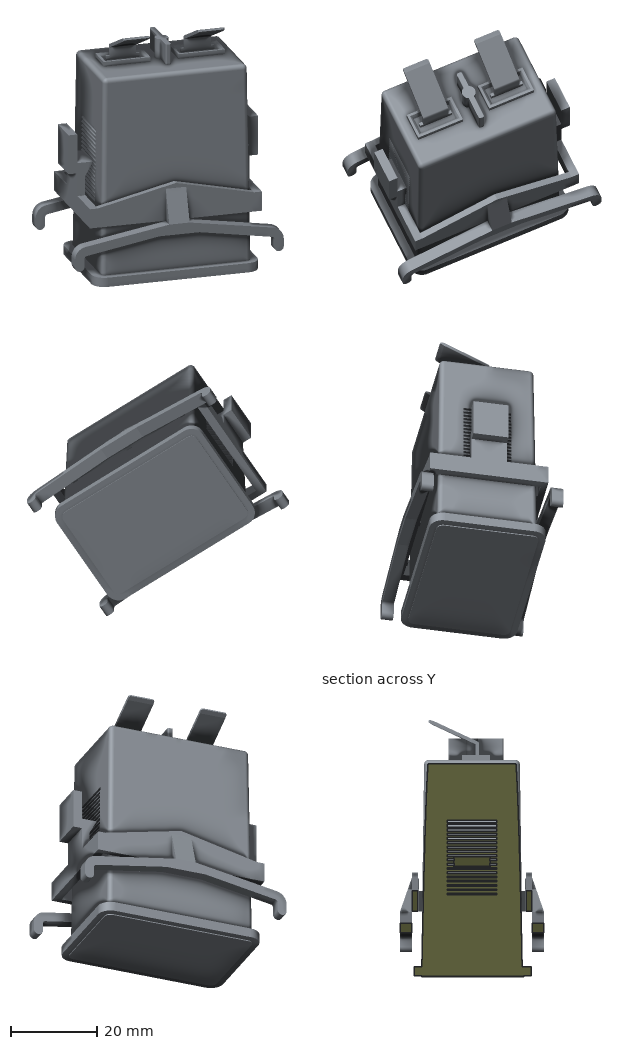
import cadquery as cq
import math

LENS_X = 24.1
LENS_Y = 37.1
LENS_T = 0.25
LENS_R = 1.55

FLANGE_X = 27.5
FLANGE_Y = 40.4
FLANGE_R = 3.1
FLANGE_TOP = 2.5
FLANGE_CENTER = (-0.2, -0.1)
CASE_X = 23.6
CASE_Y = 36.45
CASE_TOP = 50.5
CASE_TAPER = 0.8
CASE_EDGE_R = 1.1

RATCHET_X = 11.3
RATCHET_TOP = 36.45
RATCHET_BOTTOM = 18.45
TOOTH_COUNT = 18
TOOTH_PITCH = (RATCHET_TOP - RATCHET_BOTTOM) / TOOTH_COUNT
TOOTH_DEPTH = 0.6
TOOTH_LAND = 0.25
TOOTH_OVERCUT = 0.2

SOCKET_CENTER_X = -0.9
SOCKET_CENTER_Y = 9.1
SOCKET_X = 6.45
SOCKET_Y = 11.45
SOCKET_H = 1.15
SOCKET_DEPTH = 0.8
SOCKET_RIM = 0.6
SOCKET_WALL_INSET = 0.65
SOCKET_FLOOR = CASE_TOP + SOCKET_H - SOCKET_DEPTH
DIVIDER_X = 12.8
DIVIDER_T = 1.3
DIVIDER_EDGE_R = 0.35
DIVIDER_TOP = 55.5
DIVIDER_POST_D = 3.2

BLADE_T = 0.8
BLADE_BACK_X = -1.6
BLADE_W = 6.4
BLADE_FOOT_W = 8.15
BLADE_FOOT_TOP = 51.85
BLADE_ANGLE = math.radians(25)
BLADE_ARM = 12.7
BEND_R = 0.2
TIP_LENGTH = 1.15
TIP_BEVEL = 0.2
TIP_CORNER = 0.3
TIP_TOP = {1: 59.85, -1: 59.7}

CLIP_CENTER_Y = -0.85
FRAME_X = 28.0
FRAME_Y = 41.9
FRAME_SIDE_T = 1.5
FRAME_END_T = 1.9
FRAME_BOTTOM = 15.25
FRAME_TOP = 20.0
GABLE_TOP = 24.3
FRAME_END_Y = FRAME_Y / 2
FRAME_INNER_X = FRAME_X / 2 - FRAME_SIDE_T
FRAME_INNER_Y = FRAME_END_Y - FRAME_END_T

BUMP_W = 1.25
BUMP_T = 0.25
BUMP_SPACING = 14.95
BUMP_BELOW_GABLE = 1.4

TAB_X = 8.3
TAB_HOOK_Y = 17.2
TAB_HOOK_BOTTOM = 24.65
TAB_HOOK_TOP = 28.1
GRIP_OUTER_Y = 23.1
GRIP_BOTTOM = 25.55
GRIP_TOP = 35.15

CLIP_X = 33.5
CLIP_Y = 50.8
ARM_X = (CLIP_X - FRAME_X) / 2
ARM_T = 2.3
ARM_TOP = 15.2
ARM_UNDERSIDE = 12.6
ARM_TOP_FLAT = 4.95
ARM_UNDERSIDE_FLAT = 9.8
ARM_ANGLE = math.radians(9.1)
ARM_BEND_R = 3.0
ARM_BEND_Z = 8.85
ARM_TIP_Z = 5.85
WEDGE_TOP = 23.1


def case_half_y(z):
    """Distance of the tapered end face from the case axis at height z."""
    return CASE_Y / 2 - (z - FLANGE_TOP) * math.tan(math.radians(CASE_TAPER))


def extrude_along_x(points, width):
    """Prism from a closed (y, z) outline, centred on X = 0."""
    return (
        cq.Workplane("YZ")
        .polyline(points)
        .close()
        .extrude(width / 2, both=True)
    )


def plate(size_x, size_y, corner_r, bottom, top):
    """Rounded plate on the flange axis."""
    return (
        cq.Workplane("XY", origin=(*FLANGE_CENTER, bottom))
        .rect(size_x, size_y)
        .extrude(top - bottom)
        .edges("|Z")
        .fillet(corner_r)
    )


def make_lens():
    return plate(LENS_X, LENS_Y, LENS_R, 0, LENS_T)


def make_case():
    case = (
        cq.Workplane("XY", origin=(0, 0, FLANGE_TOP))
        .rect(CASE_X, CASE_Y)
        .extrude(CASE_TOP - FLANGE_TOP, taper=CASE_TAPER)
    )
    return case.edges("not <Z").fillet(CASE_EDGE_R)


def make_ratchet_cut():
    """Sawteeth of the -Y face: each slopes out going down to a narrow land."""
    cut = cq.Workplane("XY")
    for i in range(TOOTH_COUNT):
        root_z = RATCHET_TOP - i * TOOTH_PITCH
        crest_z = root_z - TOOTH_PITCH + TOOTH_LAND
        tooth_gap = [
            (-case_half_y(root_z) + TOOTH_DEPTH, root_z),
            (-case_half_y(crest_z), crest_z),
            (-case_half_y(crest_z) - TOOTH_OVERCUT, crest_z),
            (-case_half_y(root_z) - TOOTH_OVERCUT, root_z),
        ]
        cut = cut.add(extrude_along_x(tooth_gap, RATCHET_X))
    return cut.combine()


def make_socket(side):
    """Raised rectangular rim with a leaning inner wall."""
    wall_lean = math.degrees(math.atan(SOCKET_WALL_INSET / SOCKET_DEPTH))
    return (
        cq.Workplane("XY", origin=(SOCKET_CENTER_X, side * SOCKET_CENTER_Y, CASE_TOP))
        .rect(SOCKET_X, SOCKET_Y)
        .extrude(SOCKET_H)
        .faces(">Z")
        .workplane()
        .rect(SOCKET_X - 2 * SOCKET_RIM, SOCKET_Y - 2 * SOCKET_RIM)
        .cutBlind(-SOCKET_DEPTH, taper=wall_lean)
    )


def make_divider():
    height = DIVIDER_TOP - CASE_TOP
    base = cq.Workplane("XY", origin=(0, 0, CASE_TOP))
    wall = base.center(SOCKET_CENTER_X, 0).rect(DIVIDER_X, DIVIDER_T).extrude(height)
    wall = wall.edges("|Z").fillet(DIVIDER_EDGE_R)
    post = base.circle(DIVIDER_POST_D / 2).extrude(height)
    return wall.union(post)


def make_housing(clip):
    """Case and flange, relieved where the latch hooks of the clip reach in."""
    ratchet_cut = make_ratchet_cut()
    housing = (
        plate(FLANGE_X, FLANGE_Y, FLANGE_R, LENS_T, FLANGE_TOP)
        .union(make_case())
        .cut(ratchet_cut)
        .cut(ratchet_cut.mirror("XZ"))
        .union(make_divider())
    )
    for side in (1, -1):
        housing = housing.union(make_socket(side))
    return housing.cut(clip)


def make_terminal(side):
    """Blade standing in its socket and bent over toward +X."""
    along_x = math.cos(BLADE_ANGLE)
    along_z = math.sin(BLADE_ANGLE)
    bend_z = TIP_TOP[side] - (BLADE_ARM * along_z - TIP_BEVEL * along_x)

    def arm_point(distance, depth):
        """Point on the arm: distance from the bend corner, depth below its upper face."""
        return (
            BLADE_BACK_X + distance * along_x + depth * along_z,
            bend_z + distance * along_z - depth * along_x,
        )

    front_x = BLADE_BACK_X + BLADE_T
    inner_corner_z = bend_z - BLADE_T * (1 - along_z) / along_x
    outline = [
        (BLADE_BACK_X, SOCKET_FLOOR),
        (BLADE_BACK_X, bend_z),
        arm_point(BLADE_ARM - TIP_LENGTH, 0),
        arm_point(BLADE_ARM, TIP_BEVEL),
        arm_point(BLADE_ARM, BLADE_T - TIP_BEVEL),
        arm_point(BLADE_ARM - TIP_LENGTH, BLADE_T),
        (front_x, inner_corner_z),
        (front_x, SOCKET_FLOOR),
    ]
    y = side * SOCKET_CENTER_Y

    def edge_near(x, z):
        return cq.selectors.NearestToPointSelector((x, y, z))

    blade = (
        cq.Workplane("XZ", origin=(0, y, 0))
        .polyline(outline)
        .close()
        .extrude(BLADE_W / 2, both=True)
    )
    blade = blade.edges(edge_near(BLADE_BACK_X, bend_z)).fillet(BEND_R + BLADE_T / 2)
    blade = blade.edges(edge_near(front_x, inner_corner_z)).fillet(BEND_R)
    blade = blade.faces(">X").edges("not |Y").chamfer(TIP_CORNER)
    foot = (
        cq.Workplane("XY", origin=(BLADE_BACK_X + BLADE_T / 2, y, SOCKET_FLOOR))
        .rect(BLADE_T, BLADE_FOOT_W)
        .extrude(BLADE_FOOT_TOP - SOCKET_FLOOR)
    )
    return blade.union(foot)


def gable_z(y):
    """Height of the sloping upper edge of the frame sides."""
    return GABLE_TOP - abs(y) * (GABLE_TOP - FRAME_TOP) / FRAME_INNER_Y


def make_frame():
    """Rectangular frame whose long sides rise to a gable."""
    outline = [
        (-FRAME_END_Y, FRAME_BOTTOM),
        (FRAME_END_Y, FRAME_BOTTOM),
        (FRAME_END_Y, FRAME_TOP),
        (FRAME_INNER_Y, FRAME_TOP),
        (0, GABLE_TOP),
        (-FRAME_INNER_Y, FRAME_TOP),
        (-FRAME_END_Y, FRAME_TOP),
    ]
    opening = (
        cq.Workplane("XY", origin=(0, 0, FRAME_BOTTOM))
        .rect(2 * FRAME_INNER_X, 2 * FRAME_INNER_Y)
        .extrude(GABLE_TOP - FRAME_BOTTOM)
    )
    return extrude_along_x(outline, FRAME_X).cut(opening)


def make_bump(side, y):
    """Guide rib on the inner face of a frame side."""
    height = gable_z(y) - BUMP_BELOW_GABLE - FRAME_BOTTOM
    return (
        cq.Workplane("XY", origin=(side * (FRAME_INNER_X - BUMP_T / 2), y, FRAME_BOTTOM))
        .rect(BUMP_T, BUMP_W)
        .extrude(height)
    )


def make_tab():
    """Latch tab of the -Y end: stem, inward hook and upright finger grip."""
    outline = [
        (-FRAME_END_Y, FRAME_BOTTOM),
        (-FRAME_INNER_Y, FRAME_BOTTOM),
        (-FRAME_INNER_Y, TAB_HOOK_BOTTOM),
        (-TAB_HOOK_Y, TAB_HOOK_TOP),
        (-FRAME_END_Y, TAB_HOOK_TOP),
        (-FRAME_END_Y, GRIP_TOP),
        (-GRIP_OUTER_Y, GRIP_TOP),
        (-GRIP_OUTER_Y, GRIP_BOTTOM),
        (-FRAME_END_Y, GRIP_BOTTOM),
    ]
    return extrude_along_x(outline, TAB_X)


def make_arm_half():
    """+Y half of the +X spring arm, ending in a downward hook."""
    tip_y = CLIP_Y / 2
    bend_y = tip_y - ARM_BEND_R
    inner_r = ARM_BEND_R - ARM_T
    tip_r = ARM_T / 2
    start_angle = math.pi / 2 - ARM_ANGLE
    mid_angle = start_angle / 2

    def bend_point(radius, angle):
        return (bend_y + radius * math.cos(angle), ARM_BEND_Z + radius * math.sin(angle))

    return (
        cq.Workplane("YZ", origin=(FRAME_X / 2, 0, 0))
        .moveTo(0, ARM_TOP)
        .lineTo(ARM_TOP_FLAT / 2, ARM_TOP)
        .lineTo(*bend_point(ARM_BEND_R, start_angle))
        .threePointArc(bend_point(ARM_BEND_R, mid_angle), bend_point(ARM_BEND_R, 0))
        .lineTo(tip_y, ARM_TIP_Z + tip_r)
        .threePointArc((tip_y - tip_r, ARM_TIP_Z), (tip_y - ARM_T, ARM_TIP_Z + tip_r))
        .lineTo(*bend_point(inner_r, 0))
        .threePointArc(bend_point(inner_r, mid_angle), bend_point(inner_r, start_angle))
        .lineTo(ARM_UNDERSIDE_FLAT / 2, ARM_UNDERSIDE)
        .lineTo(0, ARM_UNDERSIDE)
        .close()
        .extrude(ARM_X)
    )


def make_wedge():
    """Sloping block that carries the +X spring arm on the frame side."""
    root_x = FRAME_X / 2
    return (
        cq.Workplane("XZ")
        .polyline([(root_x, ARM_TOP), (root_x + ARM_X, ARM_TOP), (root_x, WEDGE_TOP)])
        .close()
        .extrude(ARM_TOP_FLAT / 2, both=True)
    )


def make_clip():
    arm_half = make_arm_half()
    arm = arm_half.union(arm_half.mirror("XZ")).union(make_wedge())
    tab = make_tab()
    clip = (
        make_frame()
        .union(tab)
        .union(tab.mirror("XZ"))
        .union(arm)
        .union(arm.mirror("YZ"))
    )
    for side in (1, -1):
        for y in (-BUMP_SPACING, 0, BUMP_SPACING):
            clip = clip.union(make_bump(side, y))
    return clip.translate((0, CLIP_CENTER_Y, 0))


lens = make_lens()
clip = make_clip()
housing = make_housing(clip)
terminals = [make_terminal(side) for side in TIP_TOP]

result = cq.Compound.makeCompound(
    [lens.val(), housing.val(), clip.val(), *[terminal.val() for terminal in terminals]]
)